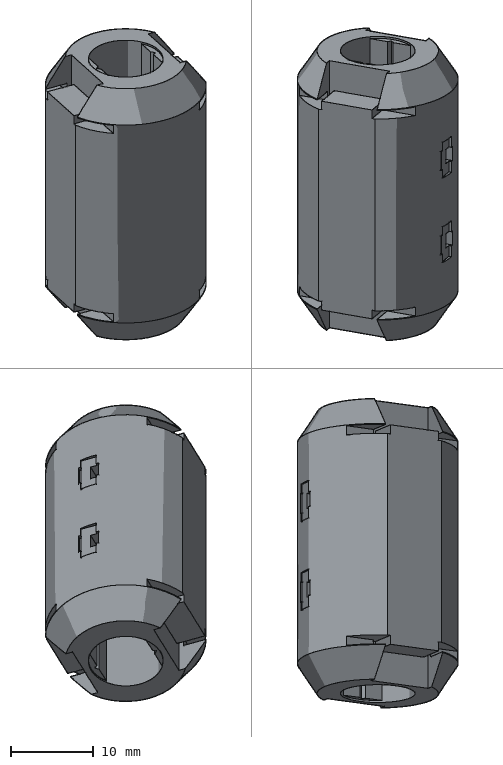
import cadquery as cq

length = 35.0
outer_diameter = 19.5
outer_radius = outer_diameter / 2
flat_distance = 9.0
taper_height = 3.7
end_radius = 7.35

bore_radius = 4.5
land_distance = 3.65
land_inset = 0.25
groove_depth = 0.4

recess_half_width = 4.0
recess_floor = 5.32
recess_height = 3.8
step_half_width = 3.35
slot_bottom = 4.95
slot_floor = 5.95

latch_spacing = 11.05
latch_face = 9.4
window_depth = 2.1
notch_depth = 0.7
latch_low = -0.15
latch_high = 1.95
latch_height = 4.7
window_low = -0.45
window_high = 0.75
window_height = 1.85
notch_high = 2.3
notch_height = 2.5

half_length = length / 2


def box_between(x_range, y_range, z_range):
    """Box spanning the given (low, high) range on each axis."""
    ranges = (x_range, y_range, z_range)
    sizes = [high - low for low, high in ranges]
    corner = tuple(low for low, high in ranges)
    return cq.Workplane("XY").box(*sizes, centered=False).translate(corner)


def outer_body():
    profile = [
        (0, -half_length),
        (end_radius, -half_length),
        (outer_radius, -half_length + taper_height),
        (outer_radius, half_length - taper_height),
        (end_radius, half_length),
        (0, half_length),
    ]
    turned = cq.Workplane("XZ").polyline(profile).close().revolve(360, (0, 0), (0, 1))
    slab = cq.Workplane("XY").box(outer_diameter, 2 * flat_distance, length)
    return turned.intersect(slab)


def land(side):
    """Flat land filling one edge of the bore; side is +1 or -1 along Y."""
    land_length = length - 2 * land_inset
    groove = [
        (-groove_depth, side * land_distance),
        (0, side * (land_distance + groove_depth)),
        (groove_depth, side * land_distance),
    ]
    inner, outer = sorted((side * land_distance, side * bore_radius))
    fill = box_between((-bore_radius, bore_radius), (inner, outer), (-land_length / 2, land_length / 2))
    groove_cut = cq.Workplane("XY").polyline(groove).close().extrude(land_length / 2, both=True)
    return fill.cut(groove_cut)


def opening():
    bore = cq.Workplane("XY").circle(bore_radius).extrude(half_length, both=True)
    return bore.cut(land(1)).cut(land(-1))


def tie_recess():
    """Recess and side slots at the top end of the -Y flat."""
    top = half_length
    outward = (-flat_distance, -recess_floor)
    recess = box_between(
        (-recess_half_width, recess_half_width), outward, (top - recess_height, top)
    )
    for side in (1, -1):
        edge = sorted((side * step_half_width, side * recess_half_width))
        slot = sorted((side * step_half_width, side * outer_radius))
        slot_z = (top - slot_bottom, top - recess_height)
        recess = recess.union(box_between(edge, outward, slot_z))
        recess = recess.union(box_between(slot, (-flat_distance, -slot_floor), slot_z))
    return recess


def latch():
    """Sunk face with a window and a release notch, centred on Z = 0."""
    outside = -outer_radius
    sunk_face = box_between(
        (outside, -latch_face), (latch_low, latch_high), (-latch_height / 2, latch_height / 2)
    )
    window = box_between(
        (outside, outside + window_depth),
        (window_low, window_high),
        (-window_height / 2, window_height / 2),
    )
    notch = box_between(
        (outside, outside + notch_depth),
        (latch_high, notch_high),
        (-notch_height / 2, notch_height / 2),
    )
    return sunk_face.union(window).union(notch)


result = outer_body().cut(opening())

top_recess = tie_recess()
for recess in (top_recess, top_recess.mirror("XZ")):
    result = result.cut(recess).cut(recess.mirror("XY"))

for level in (-latch_spacing / 2, latch_spacing / 2):
    result = result.cut(latch().translate((0, 0, level)))